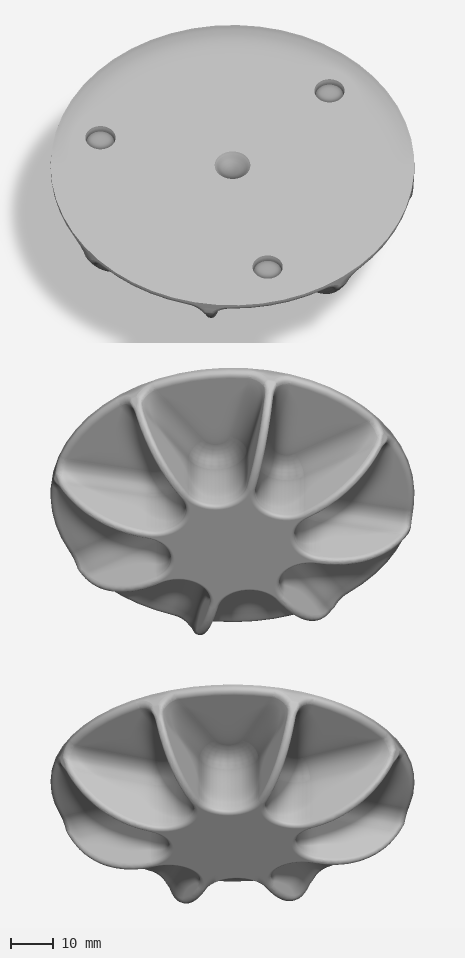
import cadquery as cq
import math

outer_radius = 42.5
height = 18.2
bottom_flat_radius = 20.4
rim_height = 3.2
flank_run = outer_radius - bottom_flat_radius
flank_drop = height - rim_height
flank_radius = (flank_run**2 + flank_drop**2) / (2 * flank_drop)
flank_centre_z = flank_radius - height

rib_count = 8
rib_pitch = 360 / rib_count
rib_thickness = 2.0
ceiling_depth = 2.0
ceiling_fillet = 4.1
inner_corner_radius = 7.5
rim_round = 1.4
rib_round = 0.9

hole_count = 3
hole_circle_radius = 32.0
hole_start_angle = 97.5
hole_top_diameter = 7.05
hole_floor_diameter = 6.5
hole_depth = 1.6

dimple_diameter = 8.3
dimple_depth = 2.6

tolerance = 0.01


def make_body():
    """Revolved body whose flank arc is tangent to the flat bottom."""
    half_sweep = math.atan2(flank_drop, flank_run)
    flank_middle = (
        bottom_flat_radius + flank_radius * math.sin(half_sweep),
        flank_centre_z - flank_radius * math.cos(half_sweep),
    )
    return (
        cq.Workplane("XZ")
        .lineTo(outer_radius, 0)
        .lineTo(outer_radius, -rim_height)
        .threePointArc(flank_middle, (bottom_flat_radius, -height))
        .lineTo(0, -height)
        .close()
        .revolve(360, (0, 0), (0, 1))
    )


def make_pocket():
    """Wedge between two ribs, rounded at its inner corner and around its ceiling."""
    half_angle = math.radians(rib_pitch / 2)
    apex = rib_thickness / 2 / math.sin(half_angle)
    reach = 1.5 * outer_radius
    half_width = (reach - apex) * math.tan(half_angle)
    return (
        cq.Workplane("XY", origin=(0, 0, -2 * height))
        .moveTo(apex, 0)
        .lineTo(reach, half_width)
        .lineTo(reach, -half_width)
        .close()
        .extrude(2 * height - ceiling_depth)
        .edges("|Z and <X")
        .fillet(inner_corner_radius)
        .faces(">Z")
        .edges("not >X")
        .fillet(ceiling_fillet)
    )


def on_rim(point):
    """True on the cylindrical rim, away from its top and bottom edges."""
    radius = math.hypot(point.x, point.y)
    return abs(radius - outer_radius) < tolerance and tolerance - rim_height < point.z < -tolerance


def on_underside(point):
    """True on the flat bottom or on the curved flank."""
    radius = math.hypot(point.x, point.y)
    if radius < bottom_flat_radius:
        return abs(point.z + height) < tolerance
    reach = math.hypot(radius - bottom_flat_radius, point.z - flank_centre_z)
    return point.z < -rim_height / 2 and abs(reach - flank_radius) < tolerance


def circles_main_axis(edge):
    """True for an arc centred on the Z axis, such as those that cross a rib."""
    if edge.geomType() != "CIRCLE":
        return False
    centre = edge.arcCenter()
    return math.hypot(centre.x, centre.y) < tolerance


def pocket_rim_edges(part):
    """Edges where the pockets break out through the rim."""
    return [
        edge
        for edge in part.edges("not |Z").vals()
        if all(on_rim(edge.positionAt(t)) for t in (0.1, 0.5, 0.9))
    ]


def pocket_underside_edges(part):
    """Edges where the pockets break out through the flank and the bottom."""
    return [
        edge
        for edge in part.edges().vals()
        if not circles_main_axis(edge)
        and all(on_underside(edge.positionAt(t)) for t in (0.05, 0.5, 0.95))
    ]


def make_hole(angle):
    """Tapered cutter for one blind hole on the hole circle."""
    return (
        cq.Workplane("XY")
        .circle(hole_top_diameter / 2)
        .workplane(offset=-hole_depth)
        .circle(hole_floor_diameter / 2)
        .loft(ruled=True)
        .translate((hole_circle_radius, 0, 0))
        .rotate((0, 0, 0), (0, 0, 1), angle)
    )


def make_dimple():
    """Ball whose lower cap cuts the shallow dimple."""
    ball_radius = (dimple_diameter**2 / 4 + dimple_depth**2) / (2 * dimple_depth)
    return cq.Workplane("XY").sphere(ball_radius).translate((0, 0, ball_radius - dimple_depth))


part = make_body()

pocket = make_pocket()
for i in range(rib_count):
    part = part.cut(pocket.rotate((0, 0, 0), (0, 0, 1), (i + 0.5) * rib_pitch))

part = part.newObject(pocket_rim_edges(part)).fillet(rim_round)
part = part.newObject(pocket_underside_edges(part)).fillet(rib_round)

for i in range(hole_count):
    part = part.cut(make_hole(hole_start_angle + i * 360 / hole_count))

result = part.cut(make_dimple())